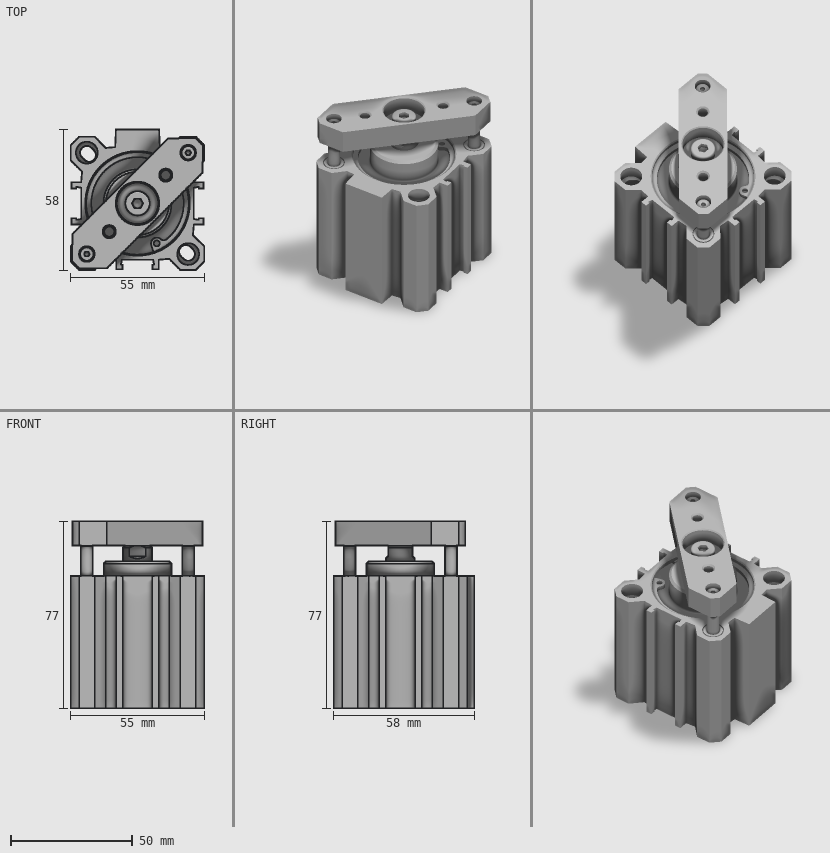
import cadquery as cq
import math

total_height = 77.0
housing_height = 54.5
plate_thickness = 10.0
plate_bottom = total_height - plate_thickness

body_half = 27.5
corner_chamfer = 3.55
pad_flat_end = 17.6
pad_root = 13.1
wall_at_pad = 22.9
wall_at_middle = 23.25

rail_outer = 8.8
rail_tip = 27.2
lip_inner = 6.1
lip_thickness = 2.0
stem_inner_at_lip = 6.8
stem_inner_at_wall = 6.4

block_tip = 30.5
block_half_root = 9.25
block_half_tip = 8.9

corner_offset = 20.9
counterbore_diameter = 9.0
counterbore_depth = 6.0
mount_hole_diameter = 5.5
mount_slot_shift = 1.0
pin_groove_inner_diameter = 8.0
pin_groove_depth = 0.8
pin_mouth_chamfer = 0.5

bore_diameter = 42.2
bore_chamfer = 0.5
collar_diameter = 28.0
collar_rise = 6.0
collar_chamfer = 1.0
collar_fillet = 0.7

ring_depth = 2.0
ring_thickness = 1.8
ring_outer_radius = 44.7 / 2
ring_inner_radius = 19.0
lug_x = 7.9
lug_y = -16.5
lug_radius = 2.4
lug_blend_radius = 1.9
lug_hole_diameter = 2.5

rod_diameter = 12.0
rod_chamfer = 0.9
rod_depth = 15.4
flat_width = 10.0
flat_length = 4.4

pin_diameter = 5.0
pin_chamfer = 0.3
pin_depth = 38.5

plate_width = 20.0
plate_half = 26.8
plate_length = 71.8
recess_diameter = 17.0
recess_depth = 7.0
recess_chamfer = 0.5
side_hole_offset = 11.6
side_hole_diameter = 4.15
side_hole_chamfer = 0.655
pin_screw_counterbore = 6.5
pin_screw_counterbore_depth = 4.0

rod_bolt_size = {
    "head_diameter": 10.0,
    "head_height": 4.1,
    "edge_radius": 0.7,
    "shank_diameter": 6.0,
    "shank_length": 12.3,
    "hex_width": 4.0,
    "hex_depth": 2.3,
}
pin_screw_size = {
    "head_diameter": 5.5,
    "head_height": 2.0,
    "edge_radius": 0.27,
    "shank_diameter": 3.0,
    "shank_length": 12.3,
    "hex_width": 2.0,
    "hex_depth": 1.15,
}
socket_tip_angle = 30.0

collar_top = housing_height + collar_rise
ring_top = housing_height - ring_depth
ring_bottom = ring_top - ring_thickness
rod_bottom = housing_height - rod_depth
pin_bottom = housing_height - pin_depth
recess_floor = total_height - recess_depth
pin_screw_seat = total_height - pin_screw_counterbore_depth

pin_places = [(corner_offset, corner_offset), (-corner_offset, -corner_offset)]
mount_places = [(-corner_offset, corner_offset), (corner_offset, -corner_offset)]
side_hole_places = [(side_hole_offset, side_hole_offset), (-side_hole_offset, -side_hole_offset)]


def cylinder(diameter, bottom, top, place=(0, 0)):
    """Upright cylinder between two heights."""
    return cq.Workplane("XY", origin=(*place, bottom)).circle(diameter / 2).extrude(top - bottom)


def countersink(diameter, depth, top, place=(0, 0)):
    """45 degree cone that chamfers the upper edge of a hole."""
    radius = diameter / 2
    cone = cq.Solid.makeCone(radius, radius + depth, depth, pnt=cq.Vector(*place, top - depth))
    return cq.Workplane(obj=cone)


def housing_profile():
    """Square body with a chamfered pad at every corner."""
    pad = [
        (wall_at_middle, rail_outer),
        (wall_at_pad, pad_root),
        (body_half, pad_flat_end),
        (body_half, body_half - corner_chamfer),
    ]
    pad += [(y, x) for x, y in reversed(pad)]
    points = []
    for quarter in range(4):
        turn = math.radians(90 * quarter)
        c = round(math.cos(turn))
        s = round(math.sin(turn))
        points += [(c * x - s * y, s * x + c * y) for x, y in pad]
    return cq.Workplane("XY").polyline(points).close().extrude(housing_height)


def rail_pair():
    """The two hooked rails of a T-slot on the -Y side."""
    lip_root = rail_tip - lip_thickness
    points = [
        (rail_outer, -wall_at_pad),
        (rail_outer, -rail_tip),
        (lip_inner, -rail_tip),
        (lip_inner, -lip_root),
        (stem_inner_at_lip, -lip_root),
        (stem_inner_at_wall, -wall_at_middle),
        (stem_inner_at_wall, -wall_at_pad),
    ]
    rail = cq.Workplane("XY").polyline(points).close().extrude(housing_height)
    return rail.union(rail.mirror("YZ"))


def port_block():
    points = [
        (-block_half_root, wall_at_pad),
        (block_half_root, wall_at_pad),
        (block_half_tip, block_tip),
        (-block_half_tip, block_tip),
    ]
    return cq.Workplane("XY").polyline(points).close().extrude(housing_height)


def collar_recess():
    """Annular recess around the collar, with the groove for the retaining ring."""
    recess = cylinder(bore_diameter, ring_bottom, housing_height)
    recess = recess.union(countersink(bore_diameter, bore_chamfer, housing_height))
    recess = recess.union(cylinder(2 * ring_outer_radius, ring_bottom, ring_top))
    return recess.cut(cylinder(collar_diameter, ring_bottom, housing_height))


def collar_top_part():
    """Part of the collar that stands above the housing."""
    collar = cylinder(collar_diameter, housing_height, collar_top)
    return collar.faces(">Z").chamfer(collar_chamfer)


def collar_root_fillet():
    """Concave fillet ring where the collar meets the recess floor."""
    radius = collar_diameter / 2
    mid = collar_fillet * (1 - math.sqrt(0.5))
    profile = (
        cq.Workplane("XZ")
        .moveTo(radius, ring_bottom)
        .lineTo(radius + collar_fillet, ring_bottom)
        .threePointArc((radius + mid, ring_bottom + mid), (radius, ring_bottom + collar_fillet))
        .close()
    )
    return profile.revolve(360, (0, 0, 0), (0, 1, 0))


def mount_hole(place):
    """Counterbored through slot, stretched towards the middle of the housing."""
    x, y = place
    shift_x = math.copysign(mount_slot_shift, x)
    shift_y = math.copysign(mount_slot_shift, y)
    shift = math.hypot(shift_x, shift_y)
    angle = math.degrees(math.atan2(shift_y, shift_x))
    slot = (
        cq.Workplane("XY", origin=(x - shift_x / 2, y - shift_y / 2, 0))
        .slot2D(shift + mount_hole_diameter, mount_hole_diameter, angle)
        .extrude(housing_height)
    )
    return slot.union(
        cylinder(counterbore_diameter, housing_height - counterbore_depth, housing_height, place)
    )


def pin_hole(place):
    """Blind hole for a guide pin, with a chamfered mouth and an annular groove around it."""
    groove_bottom = housing_height - pin_groove_depth
    groove = cylinder(counterbore_diameter, groove_bottom, housing_height, place)
    groove = groove.cut(cylinder(pin_groove_inner_diameter, groove_bottom, housing_height, place))
    hole = cylinder(pin_diameter, pin_bottom, housing_height, place)
    return hole.union(countersink(pin_diameter, pin_mouth_chamfer, housing_height, place)).union(groove)


def make_housing():
    housing = housing_profile().union(port_block())
    for angle in (-90, 0, 90):
        housing = housing.union(rail_pair().rotate((0, 0, 0), (0, 0, 1), angle))
    housing = housing.cut(collar_recess())
    housing = housing.union(collar_top_part()).union(collar_root_fillet())
    housing = housing.cut(cylinder(rod_diameter, rod_bottom, collar_top))
    for place in mount_places:
        housing = housing.cut(mount_hole(place))
    for place in pin_places:
        housing = housing.cut(pin_hole(place))
    return housing


def from_gap(radius, angle):
    """Point at an angle counted from -Y towards +X."""
    return (radius * math.sin(angle), -radius * math.cos(angle))


def between(start, end, distance):
    """Point on the line from start to end, at a distance from start."""
    span = math.dist(start, end)
    return tuple(a + (b - a) * distance / span for a, b in zip(start, end))


def make_ring():
    """Open ring with two lugs beside the gap at -Y; each lug blends into the inner edge."""
    lug = (lug_x, lug_y)
    lug_distance = math.hypot(lug_x, lug_y)
    lug_angle = math.atan2(lug_x, -lug_y)

    gap_angle = lug_angle - math.asin(lug_radius / lug_distance)
    tangent_radius = math.sqrt(lug_distance**2 - lug_radius**2)

    blend_distance = ring_inner_radius - lug_blend_radius
    reach = lug_radius + lug_blend_radius
    cosine = (lug_distance**2 + blend_distance**2 - reach**2) / (2 * lug_distance * blend_distance)
    blend_angle = lug_angle + math.acos(cosine)
    blend = from_gap(blend_distance, blend_angle)
    lug_end = between(lug, blend, lug_radius)
    blend_end = from_gap(ring_inner_radius, blend_angle)
    blend_chord_middle = ((lug_end[0] + blend_end[0]) / 2, (lug_end[1] + blend_end[1]) / 2)

    outer_gap = from_gap(ring_outer_radius, gap_angle)
    inner_gap = from_gap(tangent_radius, gap_angle)
    lug_top = between(lug, (0, 0), lug_radius)
    blend_middle = between(blend, blend_chord_middle, lug_blend_radius)

    def mirrored(point):
        return (-point[0], point[1])

    outline = (
        cq.Workplane("XY", origin=(0, 0, ring_bottom))
        .moveTo(*outer_gap)
        .lineTo(*inner_gap)
        .threePointArc(lug_top, lug_end)
        .threePointArc(blend_middle, blend_end)
        .threePointArc((0, ring_inner_radius), mirrored(blend_end))
        .threePointArc(mirrored(blend_middle), mirrored(lug_end))
        .threePointArc(mirrored(lug_top), mirrored(inner_gap))
        .lineTo(*mirrored(outer_gap))
        .threePointArc((0, ring_outer_radius), outer_gap)
        .close()
    )
    ring = outline.extrude(ring_thickness)
    for place in (lug, mirrored(lug)):
        ring = ring.cut(cylinder(lug_hole_diameter, ring_bottom, ring_top, place))
    return ring


def shank_cylinder(size, seat, place=(0, 0)):
    """Shank of a screw whose head rests at the seat height."""
    return cylinder(size["shank_diameter"], seat - size["shank_length"], seat, place)


def make_screw(size, seat, place=(0, 0)):
    """Socket head screw with a rounded head edge and a hexagon socket with a conical bottom."""
    head_top = seat + size["head_height"]
    hex_bottom = head_top - size["hex_depth"]
    hex_width = size["hex_width"]
    head = cylinder(size["head_diameter"], seat, head_top, place)
    head = head.faces(">Z").edges().fillet(size["edge_radius"])
    hex_corner_diameter = hex_width / math.cos(math.pi / 6)
    socket = (
        cq.Workplane("XY", origin=(*place, hex_bottom))
        .polygon(6, hex_corner_diameter)
        .extrude(size["hex_depth"])
    )
    tip_radius = hex_width / 2
    tip_depth = tip_radius * math.tan(math.radians(socket_tip_angle))
    tip_start = cq.Vector(*place, hex_bottom)
    tip = cq.Solid.makeCone(tip_radius, 0, tip_depth, pnt=tip_start, dir=cq.Vector(0, 0, -1))
    screw = head.union(shank_cylinder(size, seat, place))
    return screw.cut(socket).cut(cq.Workplane(obj=tip))


def flat_cutter():
    """Cutter for one wrench flat on the -Y side, with a 45 degree run-out at its lower end."""
    radius = rod_diameter / 2
    flat = flat_width / 2
    flat_bottom = plate_bottom - flat_length
    run_out = radius - flat
    points = [
        (-flat, plate_bottom),
        (-flat, flat_bottom),
        (-radius, flat_bottom - run_out),
        (-radius, plate_bottom),
    ]
    return cq.Workplane("YZ").polyline(points).close().extrude(radius, both=True)


def make_rod():
    rod = cylinder(rod_diameter, rod_bottom, plate_bottom).faces(">Z").chamfer(rod_chamfer)
    rod = rod.cut(flat_cutter()).cut(flat_cutter().mirror("XZ"))
    return rod.cut(shank_cylinder(rod_bolt_size, recess_floor))


def make_guide_pin(place):
    pin = cylinder(pin_diameter, pin_bottom, plate_bottom, place).faces(">Z").chamfer(pin_chamfer)
    return pin.cut(shank_cylinder(pin_screw_size, pin_screw_seat, place))


def make_plate():
    """Diagonal bar trimmed to a square, with screw seats and two plain side holes."""
    plate = (
        cq.Workplane("XY", origin=(0, 0, plate_bottom))
        .transformed(rotate=(0, 0, 45))
        .rect(plate_length, plate_width)
        .extrude(plate_thickness)
    )
    limits = (
        cq.Workplane("XY", origin=(0, 0, plate_bottom))
        .rect(2 * plate_half, 2 * plate_half)
        .extrude(plate_thickness)
    )
    plate = plate.intersect(limits)
    plate = plate.cut(cylinder(recess_diameter, recess_floor, total_height))
    plate = plate.cut(countersink(recess_diameter, recess_chamfer, total_height))
    plate = plate.cut(shank_cylinder(rod_bolt_size, recess_floor))
    for place in pin_places:
        plate = plate.cut(cylinder(pin_screw_counterbore, pin_screw_seat, total_height, place))
        plate = plate.cut(shank_cylinder(pin_screw_size, pin_screw_seat, place))
    for place in side_hole_places:
        plate = plate.cut(cylinder(side_hole_diameter, plate_bottom, total_height, place))
        plate = plate.cut(countersink(side_hole_diameter, side_hole_chamfer, total_height, place))
    return plate


housing = make_housing()
retaining_ring = make_ring()
piston_rod = make_rod()
plate = make_plate()
rod_bolt = make_screw(rod_bolt_size, recess_floor)
guide_pins = [make_guide_pin(place) for place in pin_places]
pin_screws = [make_screw(pin_screw_size, pin_screw_seat, place) for place in pin_places]

bodies = [housing, retaining_ring, piston_rod, plate, rod_bolt, *guide_pins, *pin_screws]
result = cq.Compound.makeCompound([body.solids().val() for body in bodies])